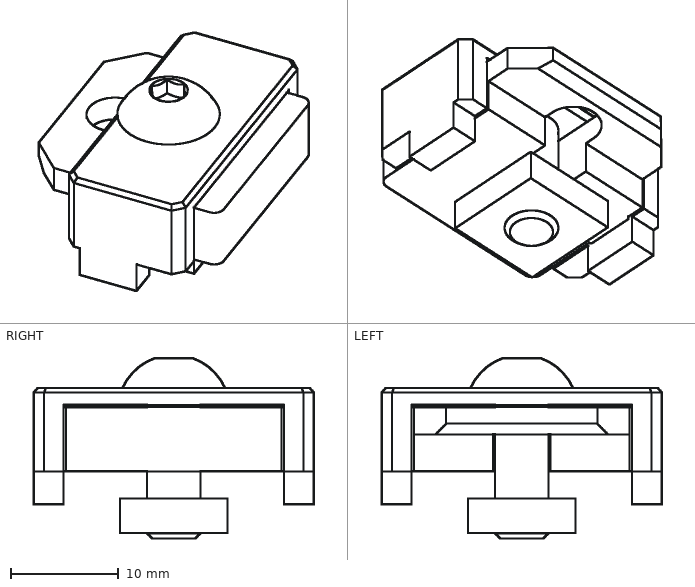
import cadquery as cq
import math


shank_diameter = 5.0
shank_length = 14.0
shank_end_chamfer = 0.5
head_diameter = 9.52
head_height = 2.75
head_flat_diameter = 3.55
socket_width = 3.02
socket_depth = 1.6
socket_floor_angle = 30.0
socket_tip_diameter = 0.52

cover_length = 26.0
cover_width = 12.0
cover_left = -4.5
cover_height = 7.75
cover_corner_chamfer = 1.0
cover_top_chamfer = 0.42
end_wall_thickness = 2.78
roof_thickness = 1.59
tongue_width = 5.85
tongue_height = 3.07

slider_size = 20.0
slider_top = -1.8
plate_thickness = 2.52
nose_corner_chamfer = 3.0
nose_edge_chamfer = 1.0
rear_corner_radius = 1.0
slot_width = 5.3
slot_end_wall = 1.85
guide_rib_length = 5.2
guide_rib_end_angle = 35.0

nut_size = 10.0
nut_top = -10.25
nut_thickness = 3.22


def box_between(x_range, y_range, z_range):
    """Box spanning the given (low, high) range along each axis."""
    (x0, x1), (y0, y1), (z0, z1) = x_range, y_range, z_range
    return cq.Workplane("XY").box(x1 - x0, y1 - y0, z1 - z0, centered=False).translate((x0, y0, z0))


def cylinder_between(diameter, z_low, z_high):
    """Cylinder on the screw axis."""
    return cq.Workplane("XY").workplane(offset=z_low).circle(diameter / 2).extrude(z_high - z_low)


def make_cover():
    half_length = cover_length / 2
    cover_right = cover_left + cover_width
    bay_half_length = half_length - end_wall_thickness
    cover = box_between((cover_left, cover_right), (-half_length, half_length), (-cover_height, 0))
    cover = cover.edges("|Z").chamfer(cover_corner_chamfer)
    cover = cover.faces(">Z").chamfer(cover_top_chamfer)

    bay = box_between(
        (cover_left, cover_right), (-bay_half_length, bay_half_length), (-cover_height, -roof_thickness)
    )
    cover = cover.cut(bay)

    tongue_bottom = -cover_height - tongue_height
    for y_range in ((-half_length, -bay_half_length), (bay_half_length, half_length)):
        tongue = box_between((-tongue_width / 2, tongue_width / 2), y_range, (tongue_bottom, -cover_height))
        cover = cover.union(tongue)

    return cover.cut(cylinder_between(shank_diameter, -cover_height, 0))


def make_slider():
    half = slider_size / 2
    plate_bottom = slider_top - plate_thickness
    slider = box_between((-half, half), (-half, half), (-cover_height, slider_top))
    slider = slider.edges("|Z and <X").chamfer(nose_corner_chamfer)
    slider = slider.edges("|Z and >X").fillet(rear_corner_radius)

    nose_relief = box_between((-half, cover_left), (-half, half), (-cover_height, plate_bottom))
    slider = slider.cut(nose_relief)

    nose_bevel = (
        cq.Workplane("XZ")
        .moveTo(-half, plate_bottom)
        .lineTo(-half + nose_edge_chamfer, plate_bottom)
        .lineTo(-half, plate_bottom + nose_edge_chamfer)
        .close()
        .extrude(half, both=True)
    )
    slider = slider.cut(nose_bevel)

    for side in (-1, 1):
        slider = slider.union(make_guide_rib(side))

    return slider.cut(make_slot())


def make_guide_rib(side):
    """Shallow rib that fills the gap to one end wall of the cover; side is -1 or 1 along Y."""
    half_base = guide_rib_length / 2
    base_y = slider_size / 2
    tip_y = cover_length / 2 - end_wall_thickness
    end_run = (tip_y - base_y) * math.tan(math.radians(guide_rib_end_angle))
    half_tip = half_base - end_run
    return (
        cq.Workplane("XY")
        .workplane(offset=-cover_height)
        .moveTo(-half_base, side * base_y)
        .lineTo(half_base, side * base_y)
        .lineTo(half_tip, side * tip_y)
        .lineTo(-half_tip, side * tip_y)
        .close()
        .extrude(cover_height + slider_top)
    )


def make_slot():
    """Slot with a round nose end and a square rear end just behind the screw."""
    slot_radius = slot_width / 2
    arc_centre_x = -slider_size / 2 + slot_end_wall + slot_radius
    slot_rear_x = slot_radius
    round_end = (
        cq.Workplane("XY")
        .workplane(offset=-cover_height)
        .center(arc_centre_x, 0)
        .circle(slot_radius)
        .extrude(cover_height + slider_top)
    )
    straight = box_between(
        (arc_centre_x, slot_rear_x), (-slot_radius, slot_radius), (-cover_height, slider_top)
    )
    return round_end.union(straight)


def make_socket():
    """Hexagonal socket with a bevelled mouth and a conical floor."""
    corner_radius = socket_width / math.sqrt(3)
    mouth_radius = head_flat_diameter / 2
    tip_radius = socket_tip_diameter / 2
    rim_z = head_height - socket_depth
    floor_drop = math.tan(math.radians(socket_floor_angle)) * (corner_radius - tip_radius)
    floor_z = rim_z - floor_drop

    hexagon = (
        cq.Workplane("XY")
        .workplane(offset=floor_z)
        .polygon(6, 2 * corner_radius)
        .extrude(head_height - floor_z)
    )
    drill = (
        cq.Workplane("XZ")
        .moveTo(0, floor_z)
        .lineTo(tip_radius, floor_z)
        .lineTo(corner_radius, rim_z)
        .lineTo(corner_radius, head_height)
        .lineTo(0, head_height)
        .close()
        .revolve(360, (0, 0, 0), (0, 1, 0))
    )
    mouth = (
        cq.Workplane("XZ")
        .moveTo(0, head_height)
        .lineTo(mouth_radius, head_height)
        .lineTo(0, head_height - mouth_radius)
        .close()
        .revolve(360, (0, 0, 0), (0, 1, 0))
    )
    return hexagon.intersect(drill).union(mouth)


def make_screw():
    head_radius = head_diameter / 2
    flat_radius = head_flat_diameter / 2
    shank_radius = shank_diameter / 2

    sphere_z = (flat_radius**2 + head_height**2 - head_radius**2) / (2 * head_height)
    sphere_radius = math.hypot(head_radius, sphere_z)
    dome_mid_z = head_height / 2
    dome_mid_radius = math.sqrt(sphere_radius**2 - (dome_mid_z - sphere_z) ** 2)

    screw = (
        cq.Workplane("XZ")
        .moveTo(0, head_height)
        .lineTo(flat_radius, head_height)
        .threePointArc((dome_mid_radius, dome_mid_z), (head_radius, 0))
        .lineTo(shank_radius, 0)
        .lineTo(shank_radius, -shank_length + shank_end_chamfer)
        .lineTo(shank_radius - shank_end_chamfer, -shank_length)
        .lineTo(0, -shank_length)
        .close()
        .revolve(360, (0, 0, 0), (0, 1, 0))
    )
    return screw.cut(make_socket())


def make_nut():
    half = nut_size / 2
    nut_bottom = nut_top - nut_thickness
    nut = box_between((-half, half), (-half, half), (nut_bottom, nut_top))
    return nut.cut(cylinder_between(shank_diameter, nut_bottom, nut_top))


cover = make_cover()
slider = make_slider()
screw = make_screw()
nut = make_nut()

result = cq.Compound.makeCompound([cover.val(), slider.val(), screw.val(), nut.val()])